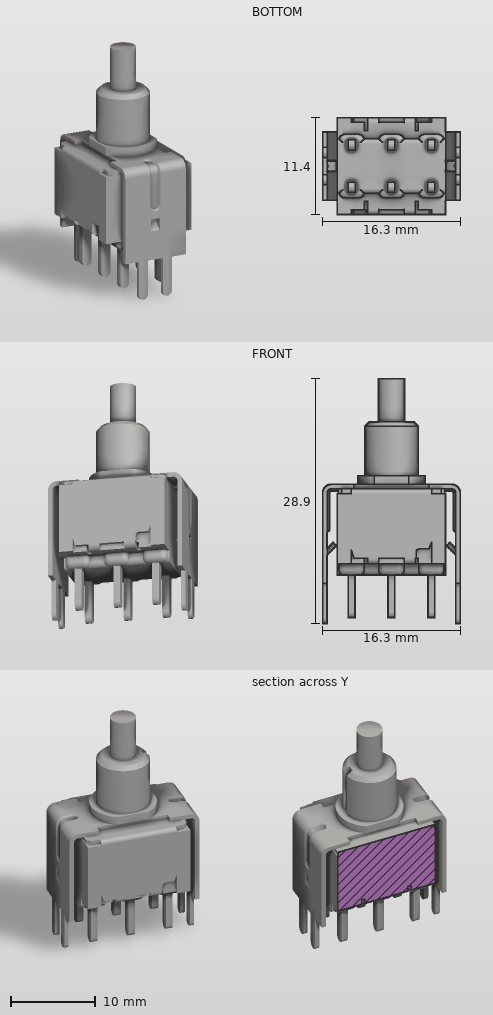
import cadquery as cq
import math


SHEET = 0.55

BRACKET_LENGTH = 16.26
BRACKET_WIDTH = 8.1
BRACKET_WAIST_LENGTH = 8.9
BRACKET_WAIST_WIDTH = 6.35
BRACKET_TOP = 11.66
BEND_INNER_RADIUS = 0.5
BEND_OUTER_RADIUS = BEND_INNER_RADIUS + SHEET

PRONG_WIDTH = 1.2
PRONG_PITCH = 3.2
PRONG_TIP = -4.77

RIB_WIDTH = 1.33
RIB_DEPTH = 0.28
RIB_WALL_RUN = 0.2
RIB_INNER_END = 5.64
RIB_LOWER_END = 6.0

WINDOW_WIDTH = 1.18
WINDOW_BOTTOM = 3.43
WINDOW_TOP = 5.04
LANCE_TIP = 4.79
LANCE_SETBACK = 0.06
LANCE_RISE = 0.17

CASE_LENGTH = 12.8
CASE_WIDTH = 11.43
CASE_BOTTOM = 2.27
FRAME_TOP = BRACKET_TOP - SHEET
CASE_TOP = FRAME_TOP - SHEET
FRAME_LENGTH = 12.6
FRAME_CORNER_CHAMFER = 0.45
FRAME_BEND_RADIUS = 0.54
PANEL_WIDTH = 9.46
PANEL_BOTTOM = 2.95
PANEL_SLOPE_RUN = 0.3
PANEL_LEFT_SLOPE = 0.9
PANEL_NOTCH_LEFT = 2.92
PANEL_NOTCH_TOP = 4.02
PANEL_NOTCH_RADIUS = 0.35
PANEL_RIGHT_SLOPE = 0.78
TAB_INNER = 1.5
TAB_OUTER = 2.82
TAB_BEND_RADIUS = 0.6
TAB_POCKET_OUTER = 3.18
TAB_POCKET_DEPTH = 1.0

BASE_WIDTH = 6.4
BASE_BOTTOM = 0.93
BASE_FILLET = 0.53
BOSS_LENGTH = 3.04
BOSS_WIDTH = 7.5
BOSS_CORNER_RADIUS = 0.75
BOSS_BOTTOM_FILLET = 0.6

TERMINAL_PITCH = 4.7
TERMINAL_ROW_PITCH = 5.0
TERMINAL_THICKNESS = 0.82
TERMINAL_WIDTH = 1.2
TERMINAL_TIP = -4.09

COLLAR_DIAMETER = 8.0
COLLAR_FLATS = 6.9
COLLAR_TOP = 12.68
BUSHING_DIAMETER = 6.35
BUSHING_TOP = 19.0
BUSHING_CHAMFER = 0.5
KEYWAY_WIDTH = 0.97
KEYWAY_FLOOR = 2.37
PLUNGER_DIAMETER = 3.1
PLUNGER_TOP = 24.1


def box(length, width, bottom, top, x=0, y=0):
    """Upright block centred on (x, y)."""
    return cq.Workplane("XY", origin=(x, y, bottom)).rect(length, width).extrude(top - bottom)


def cylinder(diameter, bottom, top):
    """Upright cylinder on the plunger axis."""
    return cq.Workplane("XY", origin=(0, 0, bottom)).circle(diameter / 2).extrude(top - bottom)


def both_ends(solid):
    """The solid together with its half-turn copy about Z."""
    return solid.union(solid.rotate((0, 0, 0), (0, 0, 1), 180))


def both_x(solid):
    """The solid together with its mirror copy at the other end in X."""
    return solid.union(solid.mirror("YZ"))


def round_tip_pin(width, thickness, x, y, tip, top):
    """Flat pin, thin in X, whose lower end is a half circle in the YZ plane."""
    radius = width / 2
    return (
        cq.Workplane("YZ", origin=(x - thickness / 2, 0, 0))
        .moveTo(y - radius, top)
        .lineTo(y - radius, tip + radius)
        .threePointArc((y, tip), (y + radius, tip + radius))
        .lineTo(y + radius, top)
        .close()
        .extrude(thickness)
    )


def bent_blank(inset):
    """Solid arch whose outer skin lies `inset` inside the bracket's outer skin."""
    top = BRACKET_TOP - inset
    radius = BEND_OUTER_RADIUS - inset
    blank = box(BRACKET_LENGTH - 2 * inset, BRACKET_WIDTH, 0, top)
    return blank.edges("|Y and >Z").fillet(radius)


def pressed_rib(start_inset):
    """Left rib: a trapezoid section swept round the bend, with conical round ends.

    Its wide side lies `start_inset` below the bracket's outer skin, its narrow side RIB_DEPTH deeper.
    """
    skin_x = -BRACKET_LENGTH / 2 + start_inset
    skin_z = BRACKET_TOP - start_inset
    radius = BEND_OUTER_RADIUS - start_inset
    half = RIB_WIDTH / 2
    floor_half = half - RIB_WALL_RUN
    lower_z = RIB_LOWER_END + half
    inner_x = -RIB_INNER_END - half
    taper = math.degrees(math.atan2(RIB_WALL_RUN, RIB_DEPTH))
    path = (
        cq.Workplane("XZ")
        .moveTo(skin_x, lower_z)
        .lineTo(skin_x, skin_z - radius)
        .radiusArc((skin_x + radius, skin_z), radius)
        .lineTo(inner_x, skin_z)
    )
    section = cq.Workplane("XY", origin=(skin_x, 0, lower_z)).polyline([
        (0, -half),
        (RIB_DEPTH, -floor_half),
        (RIB_DEPTH, floor_half),
        (0, half),
    ])
    rib = section.close().sweep(path)
    lower_end = cq.Workplane("YZ", origin=(skin_x, 0, lower_z)).circle(half).extrude(RIB_DEPTH, taper=taper)
    inner_end = cq.Workplane("XY", origin=(inner_x, 0, skin_z)).circle(half).extrude(-RIB_DEPTH, taper=taper)
    return rib.union(lower_end).union(inner_end)


def lance():
    """Tongue cut from the left leg and bent inwards and up at 45 degrees."""
    leg_outer = -BRACKET_LENGTH / 2
    slant = SHEET / math.sqrt(2)
    root_x = leg_outer + LANCE_SETBACK
    root_upper = WINDOW_BOTTOM + LANCE_RISE
    tip_x = root_x + LANCE_TIP - root_upper
    root_lower = root_upper - 2 * slant
    return (
        cq.Workplane("XZ")
        .polyline([
            (root_x, root_upper),
            (tip_x, LANCE_TIP),
            (tip_x + slant, LANCE_TIP - slant),
            (root_x, root_lower),
        ])
        .close()
        .extrude(WINDOW_WIDTH / 2, both=True)
    )


def make_bracket():
    """Snap-in bracket: bent sheet arch with four prongs, pressed ribs and lances."""
    arch = bent_blank(0).cut(bent_blank(SHEET))
    notch_width = (BRACKET_WIDTH - BRACKET_WAIST_WIDTH) / 2
    notch_y = (BRACKET_WIDTH - notch_width) / 2
    for side in (-1, 1):
        arch = arch.cut(box(BRACKET_WAIST_LENGTH, notch_width, FRAME_TOP, BRACKET_TOP, y=side * notch_y))
    leg_x = (BRACKET_LENGTH - SHEET) / 2
    for x in (-leg_x, leg_x):
        arch = arch.cut(box(SHEET, WINDOW_WIDTH, WINDOW_BOTTOM, WINDOW_TOP, x=x))
        for y in (-PRONG_PITCH / 2, PRONG_PITCH / 2):
            arch = arch.union(round_tip_pin(PRONG_WIDTH, SHEET, x, y, PRONG_TIP, 0))
    arch = arch.cut(both_x(pressed_rib(0)))
    arch = arch.union(both_x(pressed_rib(SHEET)))
    return arch.union(both_x(lance()))


def side_panel():
    """Frame sheet on the -Y side, filling the recess between the case pillars."""
    half = PANEL_WIDTH / 2
    notch_right = half - PANEL_SLOPE_RUN
    radius = PANEL_NOTCH_RADIUS
    bow = radius * (1 - math.sqrt(0.5))
    return (
        cq.Workplane("XZ", origin=(0, -CASE_WIDTH / 2 + SHEET, 0))
        .moveTo(-half, CASE_TOP)
        .lineTo(-half, PANEL_BOTTOM + PANEL_LEFT_SLOPE)
        .lineTo(-half + PANEL_SLOPE_RUN, PANEL_BOTTOM)
        .lineTo(PANEL_NOTCH_LEFT, PANEL_BOTTOM)
        .lineTo(PANEL_NOTCH_LEFT, PANEL_NOTCH_TOP - radius)
        .threePointArc(
            (PANEL_NOTCH_LEFT + bow, PANEL_NOTCH_TOP - bow),
            (PANEL_NOTCH_LEFT + radius, PANEL_NOTCH_TOP),
        )
        .lineTo(notch_right, PANEL_NOTCH_TOP)
        .lineTo(half, PANEL_NOTCH_TOP + PANEL_RIGHT_SLOPE)
        .lineTo(half, CASE_TOP)
        .close()
        .extrude(SHEET)
    )


def folded_tab():
    """Left tab of the -Y panel, curling under towards the case."""
    radius = TAB_BEND_RADIUS
    face_y = -CASE_WIDTH / 2
    pocket_y = face_y + SHEET + TAB_POCKET_DEPTH
    return (
        cq.Workplane("YZ", origin=(-TAB_OUTER, 0, 0))
        .moveTo(face_y, PANEL_BOTTOM)
        .lineTo(face_y, CASE_BOTTOM + radius)
        .radiusArc((face_y + radius, CASE_BOTTOM), -radius)
        .lineTo(pocket_y, CASE_BOTTOM)
        .lineTo(pocket_y, PANEL_BOTTOM)
        .close()
        .extrude(TAB_OUTER - TAB_INNER)
    )


def make_case():
    """Moulded case with pillars at its corners, clasped by the sheet frame."""
    case = box(CASE_LENGTH, CASE_WIDTH, CASE_BOTTOM, CASE_TOP)
    recess_y = (CASE_WIDTH - SHEET) / 2
    pocket_y = CASE_WIDTH / 2 - SHEET - TAB_POCKET_DEPTH / 2
    pocket_x = (TAB_INNER + TAB_POCKET_OUTER) / 2
    pocket_length = TAB_POCKET_OUTER - TAB_INNER
    for side in (-1, 1):
        case = case.cut(box(PANEL_WIDTH, SHEET, CASE_BOTTOM, CASE_TOP, y=side * recess_y))
        for x in (-pocket_x, pocket_x):
            case = case.cut(
                box(pocket_length, TAB_POCKET_DEPTH, CASE_BOTTOM, PANEL_BOTTOM, x=x, y=side * pocket_y)
            )

    plate = box(FRAME_LENGTH, CASE_WIDTH - 2 * SHEET, CASE_TOP, FRAME_TOP)
    plate = plate.edges("|Z").chamfer(FRAME_CORNER_CHAMFER)
    bend = box(PANEL_WIDTH, CASE_WIDTH, CASE_TOP, FRAME_TOP)
    bend = bend.edges("|X and >Z").fillet(FRAME_BEND_RADIUS)
    case = case.union(plate).union(bend)
    case = case.union(both_ends(side_panel()))
    return case.union(both_ends(both_x(folded_tab())))


def make_base():
    """Terminal base under the case, with a rounded lump and two pins per pole position."""
    base = box(CASE_LENGTH, BASE_WIDTH, BASE_BOTTOM, CASE_BOTTOM).edges("|X and <Z").fillet(BASE_FILLET)
    for x in (-TERMINAL_PITCH, 0, TERMINAL_PITCH):
        boss = box(BOSS_LENGTH, BOSS_WIDTH, BASE_BOTTOM, CASE_BOTTOM, x=x)
        boss = boss.edges("|Z").fillet(BOSS_CORNER_RADIUS)
        boss = boss.faces("<Z").edges().fillet(BOSS_BOTTOM_FILLET)
        base = base.union(boss)
        for y in (-TERMINAL_ROW_PITCH / 2, TERMINAL_ROW_PITCH / 2):
            base = base.union(
                round_tip_pin(TERMINAL_WIDTH, TERMINAL_THICKNESS, x, y, TERMINAL_TIP, CASE_BOTTOM)
            )
    return base


def make_actuator():
    """Flatted collar, keyed bushing and plunger on the Z axis."""
    collar = cylinder(COLLAR_DIAMETER, BRACKET_TOP, COLLAR_TOP)
    collar = collar.intersect(box(COLLAR_DIAMETER, COLLAR_FLATS, BRACKET_TOP, COLLAR_TOP))
    bushing = cylinder(BUSHING_DIAMETER, COLLAR_TOP, BUSHING_TOP).faces(">Z").chamfer(BUSHING_CHAMFER)
    keyway_depth = BUSHING_DIAMETER / 2 - KEYWAY_FLOOR
    keyway_x = -KEYWAY_FLOOR - keyway_depth / 2
    bushing = bushing.cut(box(keyway_depth, KEYWAY_WIDTH, COLLAR_TOP, BUSHING_TOP, x=keyway_x))
    plunger = cylinder(PLUNGER_DIAMETER, BUSHING_TOP, PLUNGER_TOP)
    return collar.union(bushing).union(plunger)


result = make_case().union(make_base()).union(make_bracket()).union(make_actuator())